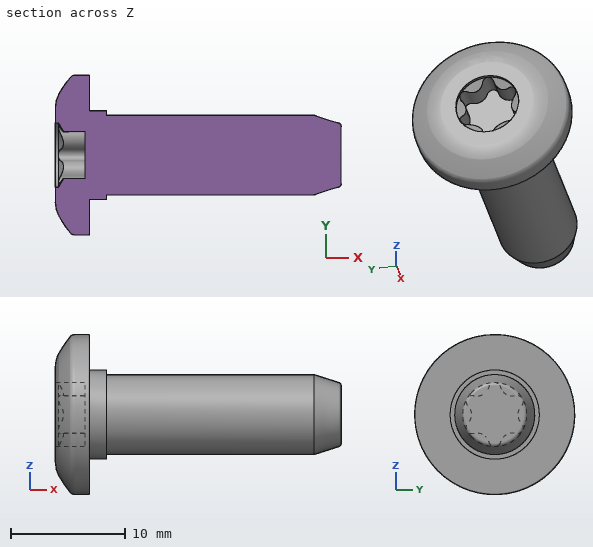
import cadquery as cq
import math

TOTAL_LENGTH = 25.0

HEAD_RADIUS = 7.0
HEAD_THICKNESS = 3.0
DOME_RADIUS = 10.8
DOME_FLAT_RADIUS = 4.77
DOME_FLAT_ROUND = 2.5
RIM_ROUND = 0.5
BEARING_EDGE_ROUND = 0.1

COLLAR_RADIUS = 3.9
COLLAR_LENGTH = 1.5
SHANK_RADIUS = 3.5
TIP_RADIUS = 2.74
TIP_TAPER_LENGTH = 2.37
TIP_ROUND = 0.3

LOBE_COUNT = 6
LOBE_OUTER_RADIUS = 2.8
LOBE_INNER_RADIUS = 2.03
LOBE_TIP_ROUND = 0.52
RECESS_DEPTH = 2.6
LEAD_IN_WALL = 0.28
LEAD_IN_CONE_ANGLE = 120.0


def edge_at(body, x, radius):
    """Circular edge of a turned body with the given axial position and radius."""
    reach = 0.01
    box = cq.selectors.BoxSelector(
        (x - reach, -radius - reach, -radius - reach),
        (x + reach, radius + reach, radius + reach),
        boundingbox=True,
    )
    return body.edges(box).edges("%CIRCLE")


def make_head():
    """Spherical-domed head with a flat front and rounded edges."""
    center_x = math.sqrt(DOME_RADIUS**2 - DOME_FLAT_RADIUS**2)

    def dome_x(radius):
        return center_x - math.sqrt(DOME_RADIUS**2 - radius**2)

    rim_x = dome_x(HEAD_RADIUS)
    middle_radius = (DOME_FLAT_RADIUS + HEAD_RADIUS) / 2
    head = (
        cq.Workplane("XZ")
        .lineTo(0, DOME_FLAT_RADIUS)
        .threePointArc((dome_x(middle_radius), middle_radius), (rim_x, HEAD_RADIUS))
        .lineTo(HEAD_THICKNESS, HEAD_RADIUS)
        .lineTo(HEAD_THICKNESS, 0)
        .close()
        .revolve(360, (0, 0, 0), (1, 0, 0))
    )
    head = edge_at(head, 0, DOME_FLAT_RADIUS).fillet(DOME_FLAT_ROUND)
    head = edge_at(head, rim_x, HEAD_RADIUS).fillet(RIM_ROUND)
    return edge_at(head, HEAD_THICKNESS, HEAD_RADIUS).fillet(BEARING_EDGE_ROUND)


def make_shank():
    """Collar under the head, plain shank and tapered tip."""
    collar_end = HEAD_THICKNESS + COLLAR_LENGTH
    shank = (
        cq.Workplane("XZ")
        .moveTo(HEAD_THICKNESS, 0)
        .lineTo(HEAD_THICKNESS, COLLAR_RADIUS)
        .lineTo(collar_end, COLLAR_RADIUS)
        .lineTo(collar_end, SHANK_RADIUS)
        .lineTo(TOTAL_LENGTH - TIP_TAPER_LENGTH, SHANK_RADIUS)
        .lineTo(TOTAL_LENGTH, TIP_RADIUS)
        .lineTo(TOTAL_LENGTH, 0)
        .close()
        .revolve(360, (0, 0, 0), (1, 0, 0))
    )
    return edge_at(shank, TOTAL_LENGTH, TIP_RADIUS).fillet(TIP_ROUND)


def polar(radius, angle):
    """Point at an angle, in radians, measured from the first local axis."""
    return (radius * math.cos(angle), radius * math.sin(angle))


def make_lobed_socket():
    """Six-lobed prism whose convex lobes and concave flanks are tangent arcs."""
    half_pitch = math.pi / LOBE_COUNT
    tip_center = LOBE_OUTER_RADIUS - LOBE_TIP_ROUND
    gap = LOBE_INNER_RADIUS - tip_center * math.cos(half_pitch)
    offset = tip_center * math.sin(half_pitch)
    flank_round = (offset**2 + gap**2 - LOBE_TIP_ROUND**2) / (2 * (LOBE_TIP_ROUND - gap))
    flank_center = polar(LOBE_INNER_RADIUS + flank_round, half_pitch)

    share = LOBE_TIP_ROUND / (LOBE_TIP_ROUND + flank_round)
    touch_x = tip_center + share * (flank_center[0] - tip_center)
    touch_y = share * flank_center[1]
    touch_radius = math.hypot(touch_x, touch_y)
    touch_angle = math.atan2(touch_y, touch_x)

    first_lobe = math.pi / 2
    outline = cq.Workplane("YZ").moveTo(*polar(touch_radius, first_lobe - touch_angle))
    for index in range(LOBE_COUNT):
        lobe = first_lobe + index * 2 * half_pitch
        valley = lobe + half_pitch
        next_lobe = lobe + 2 * half_pitch
        outline = outline.threePointArc(
            polar(LOBE_OUTER_RADIUS, lobe), polar(touch_radius, lobe + touch_angle)
        )
        outline = outline.threePointArc(
            polar(LOBE_INNER_RADIUS, valley), polar(touch_radius, next_lobe - touch_angle)
        )
    return outline.close().extrude(RECESS_DEPTH)


def make_lead_in():
    """Short round mouth and cone that guide the driver into the lobes."""
    cone_depth = LOBE_OUTER_RADIUS / math.tan(math.radians(LEAD_IN_CONE_ANGLE / 2))
    return (
        cq.Workplane("XZ")
        .lineTo(0, LOBE_OUTER_RADIUS)
        .lineTo(LEAD_IN_WALL, LOBE_OUTER_RADIUS)
        .lineTo(LEAD_IN_WALL + cone_depth, 0)
        .close()
        .revolve(360, (0, 0, 0), (1, 0, 0))
    )


result = make_head().union(make_shank()).cut(make_lobed_socket()).cut(make_lead_in())